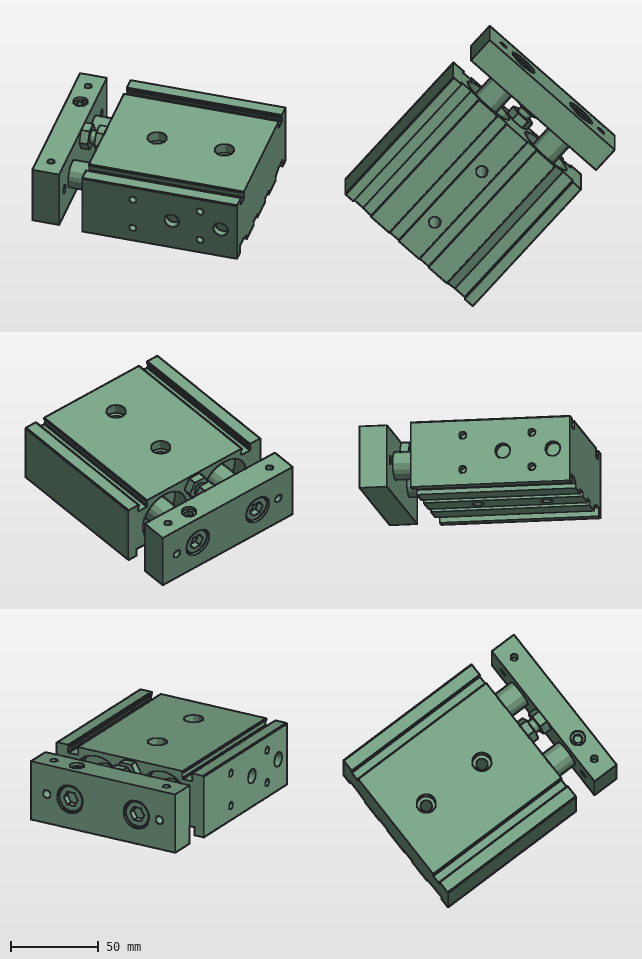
import cadquery as cq
import math


total_length = 122.0
plate_thickness = 16.0
plate_width = 96.0
plate_height = 36.0
plate_gap = 13.9
housing_width = 98.0
housing_height = 38.0

housing_start = plate_thickness + plate_gap
housing_length = total_length - housing_start
housing_bottom = -housing_height / 2
housing_top = housing_height / 2
edge_chamfer = 0.5

rod_diameter = 16.0
rod_offset = 22.1
bore_diameter = 32.0
bore_depth = 10.0
head_recess_diameter = 17.0
head_diameter = 15.0
head_recess_depth = 2.0
head_drop = 1.0
head_hex_flats = 8.0
head_hex_depth = 4.0

bolt_z = 11.5
bolt_diameter = 8.0
nut_flats = 12.9
nut_thickness = 5.0
nut_chamfer = 0.4

plate_hole_offset = 37.5
plate_top_hole_diameter = 4.1
plate_top_hole_depth = 11.0
plate_face_hole_diameter = 4.9
set_screw_diameter = 8.4
set_screw_depth = 2.0
set_screw_hex_flats = 4.9
set_screw_hex_depth = 3.0

mount_start = 60.0
mount_spacing = 40.0
mount_places = [mount_start, mount_start + mount_spacing]
mount_diameter = 6.6
mount_recess_diameter = 11.0
mount_recess_depth = 6.1

side_hole_diameter = 4.1
side_hole_depth = 6.1
side_hole_z = 10.0
port_diameter = 8.5
port_depth = 4.4
port_places = [83.2, 112.2]

slot_center = 38.1
slot_neck = 5.5
slot_inner_width = 6.8
slot_depth = 4.9
slot_lip = 1.0
slot_chamfer = 0.4
slot_floor_width = 5.7
slot_floor_rise = 0.6
slot_step_inset = 0.4
slot_step_depth = 2.5

outer_groove_outside = 42.7
outer_groove_roof_end = 35.3
outer_groove_inside = 29.2
outer_groove_depth = 5.0
outer_groove_inside_depth = 2.7
inner_groove_outside = 15.0
inner_groove_inside = 7.9
inner_groove_depth = 2.5


def x_cylinder(diameter, x_start, length, y, z):
    """Cylinder along +X."""
    return cq.Workplane("YZ", origin=(x_start, y, z)).circle(diameter / 2).extrude(length)


def z_hole(diameter, x, y, top, depth):
    """Cylinder that goes down from the height `top`."""
    return cq.Workplane("XY", origin=(x, y, top)).circle(diameter / 2).extrude(-depth)


def side_hole(diameter, x, z, depth):
    """Cylinder that goes into the -Y side of the housing."""
    plane = cq.Workplane("XZ", origin=(x, -housing_width / 2, z))
    return plane.circle(diameter / 2).extrude(-depth)


def hexagon_corners(flats):
    """Diameter over the corners of a hexagon."""
    return 2 * flats / math.sqrt(3)


def full_length(points):
    """Prism along the whole housing from an outline of (y, z) points."""
    plane = cq.Workplane("YZ", origin=(housing_start, 0, 0))
    return plane.polyline(points).close().extrude(housing_length)


def nut(x_start):
    """Hexagonal nut with flats at top and bottom and its corners chamfered at both ends."""
    corners = hexagon_corners(nut_flats)
    plane = cq.Workplane("YZ", origin=(x_start, 0, bolt_z))
    hexagon = plane.polygon(6, corners).extrude(nut_thickness)
    turned = plane.circle(corners / 2).extrude(nut_thickness).edges().chamfer(nut_chamfer)
    return hexagon.intersect(turned)


def sensor_slot(side):
    """Undercut slot along the top, with a chamfered mouth and a step in the outer wall."""
    half_neck = slot_neck / 2
    half_inner = slot_inner_width / 2
    half_mouth = half_neck + slot_chamfer
    half_floor = slot_floor_width / 2
    lip_bottom = housing_top - slot_lip
    chamfer_bottom = housing_top - slot_chamfer
    floor = housing_top - slot_depth
    step = housing_top - slot_step_depth
    outer_wall = [
        (half_floor, floor),
        (half_inner, floor + slot_floor_rise),
        (half_inner, step),
        (half_inner - slot_step_inset, step),
        (half_inner - slot_step_inset, lip_bottom),
        (half_neck, lip_bottom),
        (half_neck, chamfer_bottom),
        (half_mouth, housing_top),
    ]
    inner_wall = [
        (-half_mouth, housing_top),
        (-half_neck, chamfer_bottom),
        (-half_neck, lip_bottom),
        (-half_inner, lip_bottom),
        (-half_inner, floor + slot_floor_rise),
        (-half_floor, floor),
    ]
    return full_length([(side * (slot_center + y), z) for y, z in outer_wall + inner_wall])


def outer_groove(side):
    """Deep groove along the bottom whose roof slopes down towards the middle."""
    points = [
        (outer_groove_outside, housing_bottom),
        (outer_groove_outside, housing_bottom + outer_groove_depth),
        (outer_groove_roof_end, housing_bottom + outer_groove_depth),
        (outer_groove_inside, housing_bottom + outer_groove_inside_depth),
        (outer_groove_inside, housing_bottom),
    ]
    return full_length([(side * y, z) for y, z in points])


def inner_groove(side):
    """Plain rectangular groove along the bottom."""
    roof = housing_bottom + inner_groove_depth
    points = [
        (inner_groove_outside, housing_bottom),
        (inner_groove_outside, roof),
        (inner_groove_inside, roof),
        (inner_groove_inside, housing_bottom),
    ]
    return full_length([(side * y, z) for y, z in points])


def make_housing():
    """Block with three chamfered long edges; the lower -Y edge stays sharp."""
    half_width = housing_width / 2
    body = full_length([
        (-half_width, housing_bottom),
        (half_width - edge_chamfer, housing_bottom),
        (half_width, housing_bottom + edge_chamfer),
        (half_width, housing_top - edge_chamfer),
        (half_width - edge_chamfer, housing_top),
        (-half_width + edge_chamfer, housing_top),
        (-half_width, housing_top - edge_chamfer),
    ])
    for side in (-1, 1):
        body = body.cut(sensor_slot(side))
        body = body.cut(outer_groove(side))
        body = body.cut(inner_groove(side))
        body = body.cut(x_cylinder(bore_diameter, housing_start, bore_depth, side * rod_offset, 0))
    for x in mount_places:
        body = body.cut(z_hole(mount_diameter, x, 0, housing_top, housing_height))
        body = body.cut(z_hole(mount_recess_diameter, x, 0, housing_top, mount_recess_depth))
        for z in (-side_hole_z, side_hole_z):
            body = body.cut(side_hole(side_hole_diameter, x, z, side_hole_depth))
    for x in port_places:
        body = body.cut(side_hole(port_diameter, x, 0, port_depth))
    return body


def add_rod(body, y):
    """Adds a rod that ends on the floor of its bore, and its screw head sunk in the plate."""
    rod = x_cylinder(rod_diameter, plate_thickness, plate_gap + bore_depth, y, 0)
    recess = x_cylinder(head_recess_diameter, 0, head_recess_depth, y, 0)
    head = x_cylinder(head_diameter, head_drop, head_recess_depth - head_drop, y, 0)
    socket_plane = cq.Workplane("YZ", origin=(head_drop, y, 0))
    socket = socket_plane.polygon(6, hexagon_corners(head_hex_flats)).extrude(head_hex_depth)
    return body.union(rod).cut(recess).union(head).cut(socket)


def cut_set_screw(body):
    """Cuts the recess over the set screw above one rod, and the socket of the screw."""
    x = plate_thickness / 2
    screw_top = plate_height / 2 - set_screw_depth
    recess = z_hole(set_screw_diameter, x, rod_offset, plate_height / 2, set_screw_depth)
    plane = cq.Workplane("XY", origin=(x, rod_offset, screw_top)).transformed(rotate=(0, 0, 90))
    socket = plane.polygon(6, hexagon_corners(set_screw_hex_flats)).extrude(-set_screw_hex_depth)
    return body.cut(recess).cut(socket)


def make_carriage():
    """End plate with the rods, the stop bolt and the nuts."""
    plate = cq.Workplane("YZ").rect(plate_width, plate_height)
    body = plate.extrude(plate_thickness)
    top = plate_height / 2
    for side in (-1, 1):
        body = add_rod(body, side * rod_offset)
        y = side * plate_hole_offset
        body = body.cut(x_cylinder(plate_face_hole_diameter, 0, plate_thickness, y, 0))
        body = body.cut(z_hole(plate_top_hole_diameter, plate_thickness / 2, y, top, plate_top_hole_depth))
    body = body.union(x_cylinder(bolt_diameter, plate_thickness, plate_gap, 0, bolt_z))
    for x in (plate_thickness, housing_start - nut_thickness):
        body = body.union(nut(x))
    return cut_set_screw(body)


housing = make_housing()
carriage = make_carriage()

result = cq.Compound.makeCompound([*housing.solids().vals(), *carriage.solids().vals()])